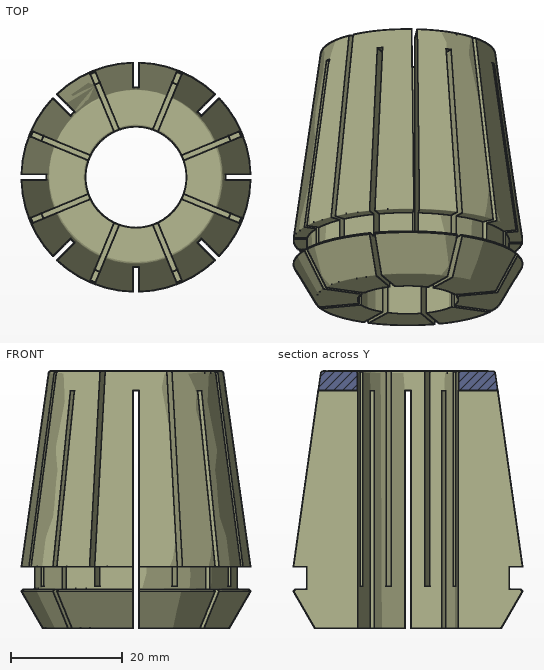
import cadquery as cq
import math


length = 46.0
max_radius = 41.0 / 2
bore_radius = 18.0 / 2

nose_half_angle = math.radians(30)
nose_cone_height = 6.65
flange_top = 7.0
groove_top = 11.0
groove_radius = 18.1

taper_half_angle = math.radians(8)

top_fillet = 0.5
bore_fillet = 0.4
nose_fillet = 0.3
groove_fillet = 0.2
taper_base_fillet = 0.1

slot_width = 1.0
slots_per_end = 8
slot_pitch = 360.0 / slots_per_end
lower_slot_top = 42.5
upper_slot_bottom = 7.5
cut_margin = 1.0

nose_radius = max_radius - nose_cone_height * math.tan(nose_half_angle)
flange_chamfer = flange_top - nose_cone_height
top_radius = max_radius - (length - groove_top) * math.tan(taper_half_angle)


def turned_body():
    """Revolve the half section, given as (radius, height) points, about Z."""
    section = [
        (bore_radius, 0),
        (nose_radius, 0),
        (max_radius, nose_cone_height),
        (max_radius - flange_chamfer, flange_top),
        (groove_radius, flange_top),
        (groove_radius, groove_top),
        (max_radius, groove_top),
        (top_radius, length),
        (bore_radius, length),
    ]
    return cq.Workplane("XZ").polyline(section).close().revolve(360, (0, 0), (0, 1))


def round_edge(body, edge_radius, height, fillet):
    """Fillet the circular edge that has the given radius and height."""
    tolerance = 0.01

    def is_wanted(edge):
        if edge.geomType() != "CIRCLE":
            return False
        same_radius = abs(edge.radius() - edge_radius) < tolerance
        same_height = abs(edge.Center().z - height) < tolerance
        return same_radius and same_height

    return body.edges().filter(is_wanted).fillet(fillet)


def radial_slots(bottom, top, first_angle):
    """Ring of evenly spaced radial slot cutters between two heights."""
    reach = max_radius + cut_margin
    cutter = cq.Workplane("XY").box(reach, slot_width, top - bottom, centered=(False, True, False))
    cutter = cutter.translate((0, 0, bottom))
    slots = cq.Workplane("XY")
    for index in range(slots_per_end):
        angle = first_angle + index * slot_pitch
        slots = slots.add(cutter.rotate((0, 0, 0), (0, 0, 1), angle))
    return slots.combine()


collet = turned_body()
collet = round_edge(collet, top_radius, length, top_fillet)
collet = round_edge(collet, bore_radius, length, bore_fillet)
collet = round_edge(collet, max_radius, groove_top, taper_base_fillet)
collet = round_edge(collet, groove_radius, flange_top, groove_fillet)
collet = round_edge(collet, nose_radius, 0, nose_fillet)

lower_slots = radial_slots(-cut_margin, lower_slot_top, 0)
upper_slots = radial_slots(upper_slot_bottom, length + cut_margin, slot_pitch / 2)

result = collet.cut(lower_slots).cut(upper_slots)